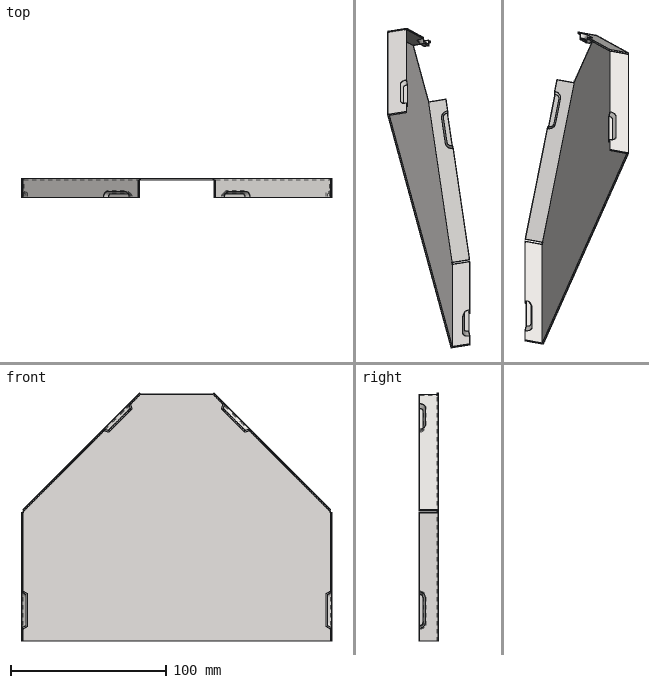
import cadquery as cq
import math

WIDTH = 200.0
HEIGHT = 159.8
DEPTH = 12.5
SHEET = 1.0
SLOPE_RUN = 76.0
RELIEF_DROP = 1.0
SLOPE_TRIM = 1.2

DENT_LENGTH = 23.2
DENT_REACH = 4.0
DENT_DEPTH = 2.8
DENT_CORNER = 3.5
DENT_TAPER = 30.0
DENT_END_OFFSET = 20.0

half_width = WIDTH / 2
shoulder_z = HEIGHT - SLOPE_RUN
slope_length = SLOPE_RUN * math.sqrt(2)
diagonal_step = SHEET / math.sqrt(2)
wall_spread = SHEET / math.cos(math.radians(DENT_TAPER))


def make_plate():
    """Back plate lying inside the flanges, with its front face at DEPTH - SHEET."""
    side_x = half_width - SHEET
    top_z = HEIGHT - diagonal_step
    top_x = half_width - SLOPE_RUN - diagonal_step
    corner_z = top_z - (side_x - top_x)
    outline = [
        (-side_x, 0),
        (side_x, 0),
        (side_x, corner_z),
        (top_x, top_z),
        (-top_x, top_z),
        (-side_x, corner_z),
    ]
    return cq.Workplane("XZ", origin=(0, DEPTH, 0)).polyline(outline).close().extrude(SHEET)


def dent_body(spread, depth):
    """Tapered, round-cornered plug straddling the free edge, pressed along +X."""
    length = DENT_LENGTH + 2 * spread
    reach = DENT_REACH + spread
    return (
        cq.Workplane("YZ")
        .sketch()
        .rect(2 * reach, length)
        .vertices()
        .fillet(DENT_CORNER + spread)
        .finalize()
        .extrude(depth, taper=DENT_TAPER)
    )


def make_flange(length, dent_z):
    """Upright flange with its outer face at X = 0 and its free edge at Y = 0."""
    flange = cq.Workplane("XY").box(SHEET, DEPTH, length, centered=False)
    keep = cq.Workplane("XY").box(half_width, DEPTH, length, centered=False)
    bump = dent_body(wall_spread, DENT_DEPTH + SHEET).translate((0, 0, dent_z))
    pocket = dent_body(0, DENT_DEPTH).translate((0, 0, dent_z))
    return flange.union(bump.intersect(keep)).cut(pocket)


side_flange = make_flange(shoulder_z - RELIEF_DROP, DENT_END_OFFSET)
side_flange = side_flange.translate((-half_width, 0, 0))

trimmed_length = slope_length - 2 * SLOPE_TRIM
slope_flange = make_flange(trimmed_length, trimmed_length - DENT_END_OFFSET)
end_strip = cq.Workplane("XY").box(SHEET, SHEET, trimmed_length + SLOPE_TRIM, centered=False)
slope_flange = slope_flange.union(end_strip.translate((0, DEPTH - SHEET, 0)))
slope_flange = slope_flange.translate((0, 0, SLOPE_TRIM))
slope_flange = slope_flange.rotate((0, 0, 0), (0, 1, 0), 45).translate((-half_width, 0, shoulder_z))

result = make_plate()
for flange in (side_flange, slope_flange):
    result = result.union(flange).union(flange.mirror("YZ"))